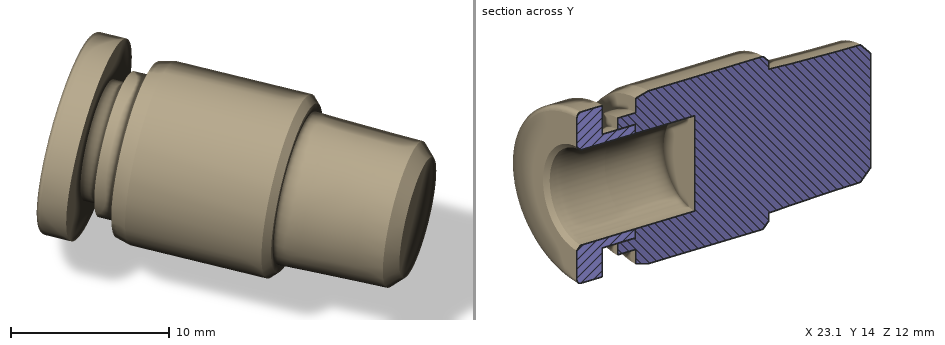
import cadquery as cq

total_length = 23.1
flange_end = 2.03
collar_start = 3.19
shoulder_start = 4.62
shoulder_end = 15.1
sleeve_end = 4.62
bore_depth = 9.25

flange_width = 14.0
flange_height = 11.87
flange_round = 0.32
sleeve_diameter = 7.9
bore_diameter = 6.55
bore_chamfer = 0.3

collar_diameter = 9.5
barrel_diameter = 12.0
barrel_front_chamfer_length = 1.0
barrel_front_chamfer_depth = 0.25
barrel_rear_chamfer = 0.49
plug_root_diameter = 9.98
plug_diameter = 9.55
plug_chamfer = 0.83


def cylinder(diameter, start, end):
    """Round bar on the X axis between two stations."""
    return cq.Workplane("YZ", origin=(start, 0, 0)).circle(diameter / 2).extrude(end - start)


def make_button():
    """Elliptical flange on a round sleeve, with a bore along the axis."""
    flange = cq.Workplane("YZ").ellipse(flange_width / 2, flange_height / 2).extrude(flange_end)
    flange = flange.faces("<X").edges().fillet(flange_round)
    button = flange.union(cylinder(sleeve_diameter, flange_end, sleeve_end))
    button = button.cut(cylinder(bore_diameter, 0, sleeve_end))
    return button.faces("<X").edges("%CIRCLE").chamfer(bore_chamfer)


def make_fitting():
    """Turned body: collar, barrel and tapered plug, with a sleeve recess and a blind bore behind it."""
    collar_radius = collar_diameter / 2
    barrel_radius = barrel_diameter / 2
    plug_radius = plug_diameter / 2
    fitting = (
        cq.Workplane("XY")
        .moveTo(collar_start, 0)
        .lineTo(collar_start, collar_radius)
        .lineTo(shoulder_start, collar_radius)
        .lineTo(shoulder_start, barrel_radius - barrel_front_chamfer_depth)
        .lineTo(shoulder_start + barrel_front_chamfer_length, barrel_radius)
        .lineTo(shoulder_end - barrel_rear_chamfer, barrel_radius)
        .lineTo(shoulder_end, barrel_radius - barrel_rear_chamfer)
        .lineTo(shoulder_end, plug_root_diameter / 2)
        .lineTo(total_length - plug_chamfer, plug_radius)
        .lineTo(total_length, plug_radius - plug_chamfer)
        .lineTo(total_length, 0)
        .close()
        .revolve(360, (0, 0, 0), (1, 0, 0))
    )
    fitting = fitting.cut(cylinder(sleeve_diameter, collar_start, sleeve_end))
    return fitting.cut(cylinder(bore_diameter, sleeve_end, bore_depth))


button = make_button()
fitting = make_fitting()
result = cq.Compound.makeCompound([button.val(), fitting.val()])